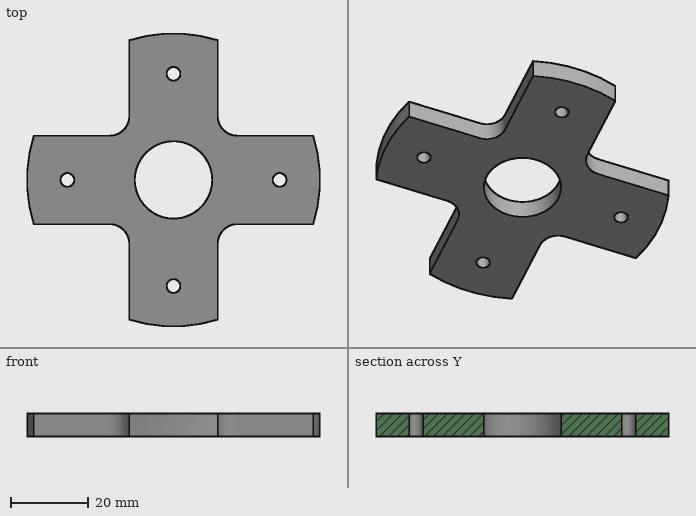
import cadquery as cq

outer_diameter = 76.0
thickness = 6.0
arm_width = 23.0
inner_corner_radius = 5.0
bore_diameter = 20.0
mount_hole_diameter = 3.5
mount_hole_circle_radius = 27.5
arm_count = 4


def cross_blank():
    """Two crossing bars with rounded inner corners, their ends trimmed to the outer circle."""
    bar_along_x = cq.Workplane("XY").rect(outer_diameter, arm_width).extrude(thickness)
    bar_along_y = cq.Workplane("XY").rect(arm_width, outer_diameter).extrude(thickness)
    cross = bar_along_x.union(bar_along_y)

    corner_zone = arm_width / 2 + inner_corner_radius
    inner_corners = cq.selectors.BoxSelector(
        (-corner_zone, -corner_zone, 0),
        (corner_zone, corner_zone, thickness),
    )
    cross = cross.edges("|Z").edges(inner_corners).fillet(inner_corner_radius)

    disc = cq.Workplane("XY").circle(outer_diameter / 2).extrude(thickness)
    return cross.intersect(disc)


def centre_bore():
    """Cutter for the through bore at the centre."""
    return cq.Workplane("XY").circle(bore_diameter / 2).extrude(thickness)


def mount_holes():
    """Cutters for the through holes, one on each arm."""
    return (
        cq.Workplane("XY")
        .polarArray(mount_hole_circle_radius, 0, 360, arm_count)
        .circle(mount_hole_diameter / 2)
        .extrude(thickness)
    )


result = cross_blank().cut(centre_bore()).cut(mount_holes())